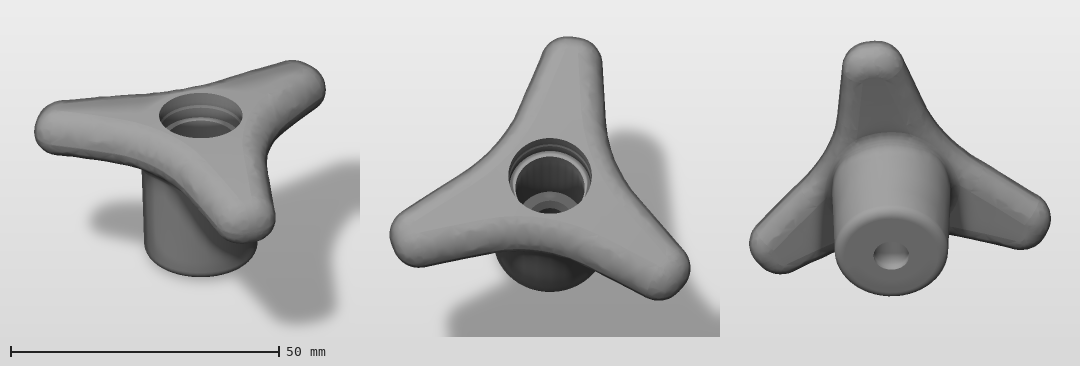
import cadquery as cq
import math


apex_height = 30
arm_count = 3
arm_pitch = 360 / arm_count

arm_reach = 31.5
tip_flat = 1.5
tip_radius = 5.1
arm_taper = 11.5
waist_arc_radius = 28.3

dome_radius = 190.3
arm_thickness = 8.6
top_round = 4.75
under_round = 3.75

hub_base_radius = 10.55
hub_draft = 1.7
hub_edge_round = 1.8
hub_blend = 1.6
hub_top = apex_height - arm_thickness / 2

cap_diameter = 15.6
cap_seat_diameter = 15.25
cap_step_top = 27.2
cap_step_bottom = 26.7
cap_floor = 24.6
pocket_diameter = 12.9
pocket_floor_diameter = 12.45
pocket_floor = 9.65
countersink_diameter = 8.7
hole_diameter = 6.6


def polar(radius, angle):
    a = math.radians(angle)
    return (radius * math.cos(a), radius * math.sin(a))


def turned(point, angle):
    return polar(math.hypot(*point), math.degrees(math.atan2(point[1], point[0])) + angle)


def arm_outline():
    """Closed plan outline: straight tapered arms joined by concave arcs."""
    side_angle = 90 - arm_taper
    valley_angle = arm_pitch / 2
    corner = (arm_reach - tip_radius, tip_flat / 2)
    normal = polar(1, side_angle)
    side_distance = corner[0] * normal[0] + corner[1] * normal[1] + tip_radius
    arc_centre_distance = (side_distance + waist_arc_radius) / math.cos(
        math.radians(side_angle - valley_angle)
    )
    arc_centre = polar(arc_centre_distance, valley_angle)

    def on_corner(angle):
        offset = polar(tip_radius, angle)
        return (corner[0] + offset[0], corner[1] + offset[1])

    tip_end = on_corner(0)
    tip_middle = on_corner(side_angle / 2)
    side_outer = on_corner(side_angle)
    side_inner = tuple(c - waist_arc_radius * n for c, n in zip(arc_centre, normal))
    valley = polar(arc_centre_distance - waist_arc_radius, valley_angle)

    def mirrored(point):
        return (point[0], -point[1])

    outline = cq.Workplane("XY").moveTo(*mirrored(tip_end))
    for i in range(arm_count):
        turn = i * arm_pitch
        following = turn + arm_pitch
        outline = (
            outline.lineTo(*turned(tip_end, turn))
            .threePointArc(turned(tip_middle, turn), turned(side_outer, turn))
            .lineTo(*turned(side_inner, turn))
            .threePointArc(turned(valley, turn), turned(mirrored(side_inner), following))
            .lineTo(*turned(mirrored(side_outer), following))
            .threePointArc(
                turned(mirrored(tip_middle), following), turned(mirrored(tip_end), following)
            )
        )
    return outline.close()


def dome(radius):
    """Sphere about the shared dome centre, with its seam on the unused lower side."""
    centre = (0, 0, apex_height - dome_radius)
    return cq.Workplane(cq.Plane(centre, xDir=(0, 0, -1), normal=(1, 0, 0))).sphere(radius)


def nearest_to_axis_at(z):
    return cq.selectors.NearestToPointSelector((0, 0, z))


def arms():
    prism = arm_outline().extrude(apex_height)
    slab = prism.intersect(dome(dome_radius)).cut(dome(dome_radius - arm_thickness))
    slab = slab.faces(nearest_to_axis_at(apex_height)).edges().fillet(top_round)
    return slab.faces(nearest_to_axis_at(apex_height - arm_thickness)).edges().fillet(under_round)


def hub():
    top_radius = hub_base_radius + hub_top * math.tan(math.radians(hub_draft))
    return (
        cq.Workplane("XZ")
        .polyline([(0, 0), (hub_base_radius, 0), (top_radius, hub_top), (0, hub_top)])
        .close()
        .revolve(360, (0, 0, 0), (0, 1, 0))
        .faces("<Z")
        .edges()
        .fillet(hub_edge_round)
    )


def bore():
    countersink_depth = (countersink_diameter - hole_diameter) / 2
    steps = [
        (hole_diameter, 0),
        (hole_diameter, pocket_floor - countersink_depth),
        (countersink_diameter, pocket_floor),
        (pocket_floor_diameter, pocket_floor),
        (pocket_diameter, cap_floor),
        (cap_seat_diameter, cap_floor),
        (cap_seat_diameter, cap_step_bottom),
        (cap_diameter, cap_step_top),
        (cap_diameter, apex_height),
    ]
    profile = [(0, 0)] + [(diameter / 2, z) for diameter, z in steps] + [(0, apex_height)]
    return cq.Workplane("XZ").polyline(profile).close().revolve(360, (0, 0, 0), (0, 1, 0))


def with_hub_blend(body):
    """Round the joint between the hub wall and the underside of the arms."""
    joint_zone = cq.selectors.BoxSelector(
        (-arm_reach, -arm_reach, hub_top - arm_thickness), (arm_reach, arm_reach, hub_top)
    )
    return body.faces("%CONE").edges(joint_zone).fillet(hub_blend)


knob = with_hub_blend(arms().union(hub()))
result = knob.cut(bore())